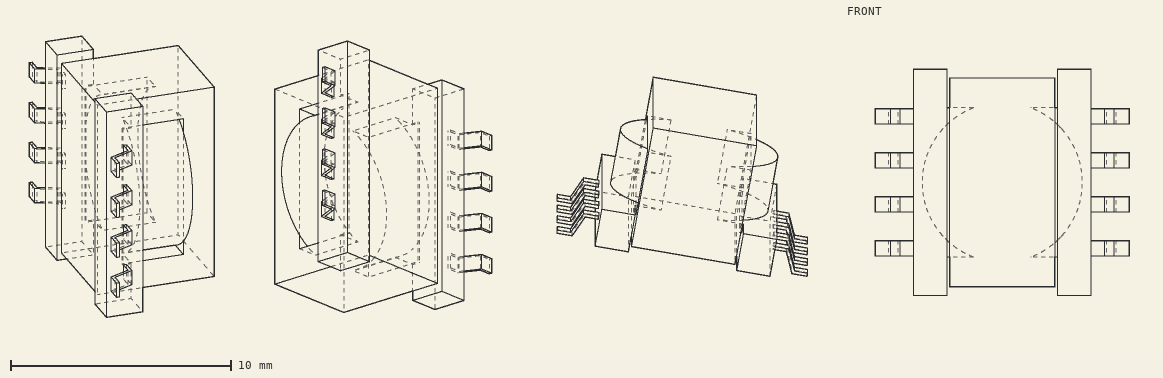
import cadquery as cq
import math


core_width = 4.78
core_height = 9.5
core_front = 0.32
core_back = 5.97
window_height = 6.8

coil_radius = 3.64
coil_back = 4.47

bar_gap = 5.0
bar_width = 1.54
bar_height = 10.3
bar_front = 0.15
bar_back = 1.91
plate_front = 1.5

lead_span = 11.56
lead_thickness = 0.15
lead_width = 0.71
lead_pitch = 2.0
leads_per_side = 4
foot_length = 0.71
slope_run = 0.43
shoulder_top = 1.12
lead_embed = 0.3


def block(width, front, back, height):
    """Box centred on X and Z, reaching from front to back along Y."""
    depth = back - front
    return cq.Workplane("XY").box(width, depth, height).translate((0, front + depth / 2, 0))


def make_core():
    body = block(core_width, core_front, core_back, core_height)
    window = block(core_width, plate_front, coil_back, window_height)
    return body.cut(window)


def make_coil():
    length = coil_back - bar_back
    return cq.Workplane("XZ", origin=(0, bar_back, 0)).circle(coil_radius).extrude(-length)


def make_bobbin():
    bar_offset = (bar_gap + bar_width) / 2
    bar = block(bar_width, bar_front, bar_back, bar_height)
    plate = block(bar_gap, plate_front, bar_back, window_height)
    return plate.union(bar.translate((bar_offset, 0, 0))).union(bar.translate((-bar_offset, 0, 0)))


def make_lead():
    """Gull-wing lead on the -X side, centred on Z = 0."""
    tip = -lead_span / 2
    root = -(bar_gap / 2 + bar_width) + lead_embed
    shoulder_bottom = shoulder_top - lead_thickness
    heel = tip + foot_length
    knee = heel + slope_run
    slope_angle = math.atan2(shoulder_bottom, slope_run)
    bend_shift = lead_thickness * math.tan(slope_angle / 2)
    outline = [
        (tip, 0),
        (heel, 0),
        (knee, shoulder_bottom),
        (root, shoulder_bottom),
        (root, shoulder_top),
        (knee - bend_shift, shoulder_top),
        (heel - bend_shift, lead_thickness),
        (tip, lead_thickness),
    ]
    return cq.Workplane("XY").polyline(outline).close().extrude(lead_width / 2, both=True)


result = make_core().union(make_coil()).union(make_bobbin())

left_lead = make_lead()
right_lead = left_lead.mirror("YZ")
for index in range(leads_per_side):
    lead_z = (index - (leads_per_side - 1) / 2) * lead_pitch
    for lead in (left_lead, right_lead):
        result = result.union(lead.translate((0, 0, lead_z)))